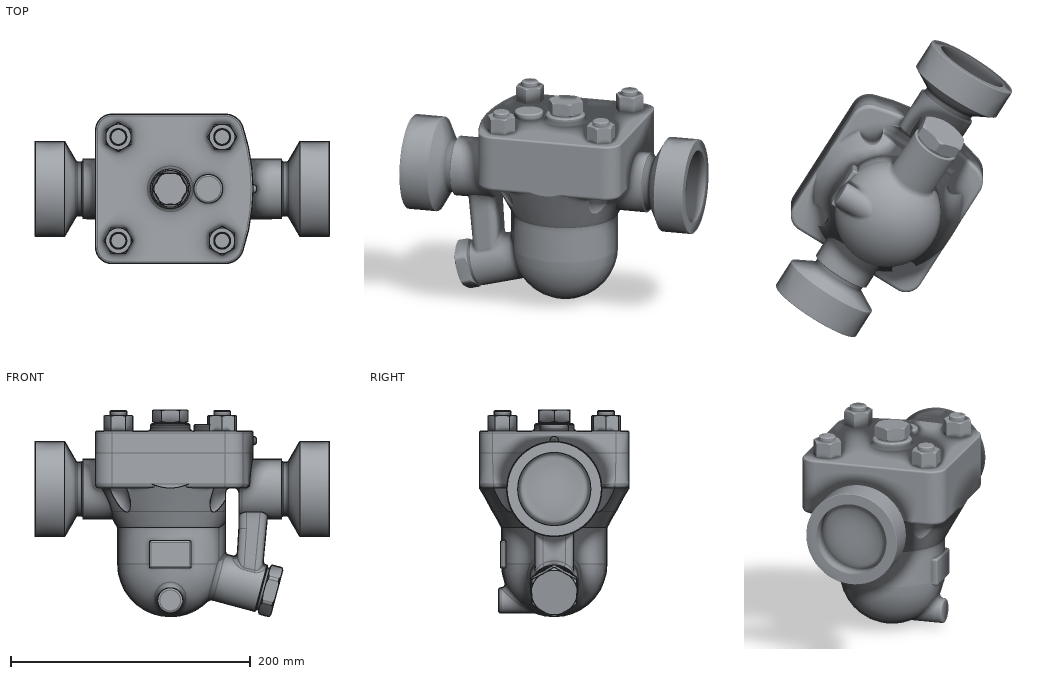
import cadquery as cq
import math

SELECT_MARGIN = 1.0
OVERLAP = 3.0

PIPE_MID_X = 10.0
PIPE_LENGTH = 246.0
PIPE_RADIUS = 25.0
NECK_RADIUS = 22.5
NECK_CHAMFER = 1.0
NECK_ROOT_FILLET = 1.5
COLLAR_RADIUS = 79.5 / 2
COLLAR_LENGTH = 24.8
COLLAR_CHAMFER = 0.4
SOCKET_RADIUS = 61.1 / 2
SOCKET_DEPTH = 16.0
PIPE_HALF_RUN = 83.0
NECK_LENGTH = 5.2

FLANGE_HALF = 62.5
FLANGE_BOTTOM = 1.0
FLANGE_SPLIT = 30.0
COVER_TOP = 48.4
LEFT_CORNER_RADIUS = 14.0
RIGHT_CORNER_RADIUS = 16.0
RIGHT_CORNER_X = 45.5
COVER_APEX_X = 69.1
FLANGE_BOTTOM_APEX_X = 67.8
FLANGE_FILLET = 3.0
COVER_FILLET = 1.6

BODY_RADIUS = 44.0
OVERALL_HEIGHT = 172.6
BODY_BOTTOM = -106.6
SPHERE_Z = BODY_BOTTOM + BODY_RADIUS
CONE_BOTTOM = -32.3
CONE_TOP_RADIUS = 64.3
CONE_BREAK = (51.5, -18.8)
BOLT_SPACING = 86.6
SCOOP_RADIUS = 10.0
SLOT_LEFT = 46.3
SLOT_RIGHT = 57.2
SLOT_ROUND = 4.0
SLOT_FACE_FILLET = 2.6
PILLAR_RADIUS = 27.5

BRANCH_SLOPE = 15.0
BRANCH_RADIUS = 20.0
BRANCH_LENGTH = 79.1
BRANCH_FILLET = 5.0
PILLAR_FILLET = 2.0
BRANCH_CHAMFER = 0.8
BRANCH_CREST_Z = -55.2
CAP_NECK_RADIUS = 18.0
CAP_NECK_LENGTH = 2.2
CAP_THICKNESS = 10.8
CAP_ACROSS_CORNERS = 43.4
CAP_CORNER_FILLET = 3.0
CAP_CHAMFER = 2.0
LEG_WIDTH = 32.0
LEG_TOP_THICKNESS = 23.8
LEG_ROUND = 6.4
LEG_INNER_LEAN = 3.4
LEG_OUTER_LEAN = 5.4
LEG_KINK_Z = -33.0
LEG_FILLET = 3.0

DRAIN_RADIUS = 10.5
DRAIN_Z = -93.0
DRAIN_FACE_Y = -46.4
DRAIN_RIM_FILLET = 1.8
DRAIN_FILLET = 3.5
LABEL_WIDTH = 35.0
LABEL_HEIGHT = 23.0
LABEL_MID_Z = -54.6
LABEL_FACE_Y = -45.0
LABEL_CORNER_FILLET = 1.6
LABEL_RIM_FILLET = 1.5

NUT_TOP = 61.5
NUT_ACROSS_FLATS = 21.0
NUT_CHAMFER = 1.4
STUD_TOP = 65.5
STUD_RADIUS = 7.0
STUD_CHAMFER = 0.8
PLUG_TOP = BODY_BOTTOM + OVERALL_HEIGHT
PLUG_SHANK_RADIUS = 12.6
PLUG_BOTTOM = 55.7
PLUG_ACROSS_CORNERS = 30.0
PLUG_CHAMFER = 1.4
SEAT_RADIUS = 16.5
SEAT_TOP = 54.6
SEAT_FLARE = 2.5
SEAT_CHAMFER = 1.2
PAD_X = 31.8
PAD_RADIUS = 12.0
PAD_TOP = 54.0
PAD_FILLET = 1.5
PIN_RADIUS = 3.5
PIN_Z = 40.4
PIN_TIP_X = 72.0
PIN_TIP_FILLET = 2.5


def flange_outline(workplane, apex_x):
    """Rounded square whose right-hand side bows out to apex_x."""
    r_left, r_right = LEFT_CORNER_RADIUS, RIGHT_CORNER_RADIUS
    corner_y = FLANGE_HALF - r_right
    reach = apex_x - r_right
    bow_x = (RIGHT_CORNER_X**2 + corner_y**2 - reach**2) / (2 * (RIGHT_CORNER_X - reach))
    bow_angle = math.atan2(corner_y, RIGHT_CORNER_X - bow_x)
    mid_angle = (bow_angle + math.pi / 2) / 2
    tangent_x = RIGHT_CORNER_X + r_right * math.cos(bow_angle)
    tangent_y = corner_y + r_right * math.sin(bow_angle)
    mid_x = RIGHT_CORNER_X + r_right * math.cos(mid_angle)
    mid_y = corner_y + r_right * math.sin(mid_angle)
    left = FLANGE_HALF - r_left
    left_mid = left + r_left * math.sqrt(0.5)
    return (
        workplane.moveTo(-left, -FLANGE_HALF)
        .lineTo(RIGHT_CORNER_X, -FLANGE_HALF)
        .threePointArc((mid_x, -mid_y), (tangent_x, -tangent_y))
        .threePointArc((apex_x, 0), (tangent_x, tangent_y))
        .threePointArc((mid_x, mid_y), (RIGHT_CORNER_X, FLANGE_HALF))
        .lineTo(-left, FLANGE_HALF)
        .threePointArc((-left_mid, left_mid), (-FLANGE_HALF, left))
        .lineTo(-FLANGE_HALF, -left)
        .threePointArc((-left_mid, -left_mid), (-left, -FLANGE_HALF))
        .close()
    )


def cylinder(x, y, z_low, z_high, radius):
    """Upright cylinder between two heights."""
    return cq.Workplane("XY", origin=(x, y, z_low)).circle(radius).extrude(z_high - z_low)


def revolve_about_z(points):
    """Solid of revolution about Z from (radius, height) points."""
    return cq.Workplane("XZ").polyline(points).close().revolve(360, (0, 0), (0, 1))


def fillet_between(solid, low, high, radius):
    """Round the edges whose centres lie in the box between two corners."""
    return solid.edges(cq.selectors.BoxSelector(low, high)).fillet(radius)


def hexagon(z_low, z_high, across_corners, chamfer, turn=0.0, both_ends=False, corner_fillet=0.0):
    """Hexagonal head on the Z axis with 30 degree turned chamfers."""
    drop = chamfer * math.tan(math.radians(30))
    prism = cq.Workplane("XY", origin=(0, 0, z_low)).polygon(6, across_corners).extrude(z_high - z_low)
    radius = across_corners / 2
    if corner_fillet:
        prism = prism.edges("|Z").fillet(corner_fillet)
        radius -= corner_fillet * (1 / math.cos(math.radians(30)) - 1)
    points = [(radius, z_high - drop), (radius - chamfer, z_high), (0, z_high), (0, z_low)]
    if both_ends:
        points += [(radius - chamfer, z_low), (radius, z_low + drop)]
    else:
        points += [(radius, z_low)]
    return prism.rotate((0, 0, 0), (0, 0, 1), turn).intersect(revolve_about_z(points))


def welding_end(side):
    """Pipe end with neck, cone and socketed collar, on side -1 or +1 of the run."""
    end = PIPE_LENGTH / 2
    collar_start = end - COLLAR_LENGTH
    neck_end = PIPE_HALF_RUN + NECK_LENGTH
    shoulder = PIPE_HALF_RUN + NECK_CHAMFER
    profile = [
        (PIPE_HALF_RUN - OVERLAP, 0), (PIPE_HALF_RUN - OVERLAP, PIPE_RADIUS),
        (PIPE_HALF_RUN, PIPE_RADIUS), (PIPE_HALF_RUN, NECK_RADIUS + NECK_CHAMFER),
        (shoulder, NECK_RADIUS), (neck_end, NECK_RADIUS),
        (collar_start, COLLAR_RADIUS), (end - COLLAR_CHAMFER, COLLAR_RADIUS),
        (end, COLLAR_RADIUS - COLLAR_CHAMFER), (end, SOCKET_RADIUS),
        (end - SOCKET_DEPTH, SOCKET_RADIUS), (end - SOCKET_DEPTH, 0),
    ]
    points = [(PIPE_MID_X + side * along, radius) for along, radius in profile]
    end_piece = cq.Workplane("XZ").polyline(points).close().revolve(360, (0, 0), (1, 0))
    root_x = PIPE_MID_X + side * neck_end
    low = (root_x - SELECT_MARGIN, -SELECT_MARGIN, -SELECT_MARGIN)
    high = (root_x + SELECT_MARGIN, SELECT_MARGIN, SELECT_MARGIN)
    return fillet_between(end_piece, low, high, NECK_ROOT_FILLET)


def bolt_positions():
    """Centres of the four cover bolts."""
    half = BOLT_SPACING / 2
    return [(sx * half, sy * half) for sx in (-1, 1) for sy in (-1, 1)]


def turned_body():
    """Cone, barrel and half-sphere bottom in one turning, trimmed flush with the flange sides."""
    cone_top = FLANGE_BOTTOM + FLANGE_FILLET
    sphere_mid = BODY_RADIUS * math.sqrt(0.5)
    turning = (
        cq.Workplane("XZ").moveTo(0, BODY_BOTTOM)
        .threePointArc((sphere_mid, SPHERE_Z - sphere_mid), (BODY_RADIUS, SPHERE_Z))
        .lineTo(BODY_RADIUS, CONE_BOTTOM)
        .lineTo(*CONE_BREAK)
        .lineTo(CONE_TOP_RADIUS, cone_top)
        .lineTo(0, cone_top)
        .close()
        .revolve(360, (0, 0), (0, 1))
    )
    side = 2 * FLANGE_HALF
    trim = cq.Workplane("XY", origin=(0, 0, cone_top)).rect(side, side).extrude(BODY_BOTTOM - cone_top)
    return turning.intersect(trim)


def upper_body():
    """Turned body and inlet pipe, opened by the slot, with clearance scoops under the bolts."""
    body = turned_body()
    for x, y in bolt_positions():
        body = body.cut(cylinder(x, y, CONE_BOTTOM, COVER_TOP, SCOOP_RADIUS))
    run_start = PIPE_MID_X - PIPE_HALF_RUN
    pipe = cq.Workplane("YZ", origin=(run_start, 0, 0)).circle(PIPE_RADIUS).extrude(SLOT_RIGHT - run_start)
    slot = (
        cq.Workplane("XY")
        .box(SLOT_RIGHT - SLOT_LEFT, 4 * BODY_RADIUS, 2 * BODY_RADIUS, centered=(False, True, False))
        .edges("|Y and >Z").fillet(SLOT_ROUND)
        .translate((SLOT_LEFT, 0, FLANGE_BOTTOM - 2 * BODY_RADIUS))
    )
    return body.union(pipe).cut(slot)


def outlet_pipe():
    """Pipe beyond the slot, with a rounded rim facing it."""
    length = PIPE_MID_X + PIPE_HALF_RUN - SLOT_RIGHT
    pipe = cq.Workplane("YZ", origin=(SLOT_RIGHT, 0, 0)).circle(PIPE_RADIUS).extrude(length)
    return pipe.faces("<X").edges().fillet(SLOT_FACE_FILLET)


def pillar():
    """Upright bulge on the +X side of the body, beside the slot."""
    return cylinder(SLOT_LEFT - PILLAR_RADIUS, 0, SPHERE_Z, FLANGE_BOTTOM, PILLAR_RADIUS)


def on_branch_axis(solid):
    """Swing a solid built on Z onto the branch axis through the sphere centre."""
    tilted = solid.rotate((0, 0, 0), (0, 1, 0), 90 + BRANCH_SLOPE)
    return tilted.translate((0, 0, SPHERE_Z))


def branch():
    """Sloping strainer branch, faired into the sphere by a concave round."""
    round_r = BRANCH_RADIUS + BRANCH_FILLET
    round_z = math.sqrt((BODY_RADIUS + BRANCH_FILLET)**2 - round_r**2)
    scale = BODY_RADIUS / (BODY_RADIUS + BRANCH_FILLET)
    foot = (round_r * scale, round_z * scale)
    mid_angle = math.pi + math.atan2(round_z, round_r) / 2
    mid = (round_r + BRANCH_FILLET * math.cos(mid_angle), round_z + BRANCH_FILLET * math.sin(mid_angle))
    profile = (
        cq.Workplane("XZ").moveTo(0, 0)
        .lineTo(*foot)
        .threePointArc(mid, (BRANCH_RADIUS, round_z))
        .lineTo(BRANCH_RADIUS, BRANCH_LENGTH - BRANCH_CHAMFER)
        .lineTo(BRANCH_RADIUS - BRANCH_CHAMFER, BRANCH_LENGTH)
        .lineTo(0, BRANCH_LENGTH)
        .close()
    )
    return on_branch_axis(profile.revolve(360, (0, 0), (0, 1)))


def branch_cap():
    """Hexagonal strainer cap on its short neck."""
    cap_start = BRANCH_LENGTH + CAP_NECK_LENGTH
    neck = cylinder(0, 0, BRANCH_LENGTH - OVERLAP, cap_start + OVERLAP, CAP_NECK_RADIUS)
    cap = hexagon(
        cap_start, cap_start + CAP_THICKNESS, CAP_ACROSS_CORNERS, CAP_CHAMFER,
        both_ends=True, corner_fillet=CAP_CORNER_FILLET,
    )
    return on_branch_axis(neck.union(cap))


def leg():
    """Leaning leg with rounded corners joining the pipe to the branch."""
    foot_z = SPHERE_Z - BRANCH_RADIUS
    outer_x = SLOT_RIGHT + LEG_TOP_THICKNESS
    inner_slope = math.tan(math.radians(LEG_INNER_LEAN))
    outer_slope = math.tan(math.radians(LEG_OUTER_LEAN))
    outline = [
        (SLOT_RIGHT, 0),
        (SLOT_RIGHT, LEG_KINK_Z),
        (SLOT_RIGHT + inner_slope * (foot_z - LEG_KINK_Z), foot_z),
        (outer_x + outer_slope * (foot_z + PIPE_RADIUS), foot_z),
        (outer_x + outer_slope * PIPE_RADIUS, 0),
    ]
    block = cq.Workplane("XZ").polyline(outline).close().extrude(LEG_WIDTH / 2, both=True)
    return block.edges("not(|Y or >Z or <Z)").fillet(LEG_ROUND)


def drain_boss():
    """Round boss facing -Y near the bottom of the body."""
    return (
        cq.Workplane("XZ", origin=(0, 0, DRAIN_Z)).circle(DRAIN_RADIUS).extrude(-DRAIN_FACE_Y)
        .faces("<Y").edges().fillet(DRAIN_RIM_FILLET)
    )


def label_plate():
    """Raised rectangular plate on the -Y side of the barrel."""
    return (
        cq.Workplane("XZ", origin=(0, 0, LABEL_MID_Z)).rect(LABEL_WIDTH, LABEL_HEIGHT)
        .extrude(-LABEL_FACE_Y)
        .edges("|Y").fillet(LABEL_CORNER_FILLET)
        .faces("<Y").edges().fillet(LABEL_RIM_FILLET)
    )


def flange():
    """Body flange, drafted on its bowed side, under the flat cover."""
    lower = flange_outline(cq.Workplane("XY"), FLANGE_BOTTOM_APEX_X).wires().val()
    upper = flange_outline(cq.Workplane("XY"), COVER_APEX_X).wires().val()
    body_flange = cq.Workplane(cq.Solid.makeLoft([
        lower.translate(cq.Vector(0, 0, FLANGE_BOTTOM)),
        upper.translate(cq.Vector(0, 0, FLANGE_SPLIT)),
    ], True)).faces("<Z").edges().fillet(FLANGE_FILLET)
    cover = flange_outline(cq.Workplane("XY", origin=(0, 0, FLANGE_SPLIT)), COVER_APEX_X)
    cover = cover.extrude(COVER_TOP - FLANGE_SPLIT).faces(">Z").edges().fillet(COVER_FILLET)
    return body_flange.union(cover, clean=False)


def bolting():
    """Four studs and nuts; diagonal neighbours are turned alike."""
    across_corners = NUT_ACROSS_FLATS / math.cos(math.radians(30))
    parts = cq.Workplane("XY")
    for x, y in bolt_positions():
        turn = 0 if x * y > 0 else 30
        nut = hexagon(COVER_TOP - OVERLAP, NUT_TOP, across_corners, NUT_CHAMFER, turn)
        parts = parts.union(nut.translate((x, y, 0)))
        stud = cylinder(x, y, COVER_TOP, STUD_TOP, STUD_RADIUS).faces(">Z").chamfer(STUD_CHAMFER)
        parts = parts.union(stud)
    return parts


def centre_plug():
    """Hexagonal plug on a round seat that flares into the cover."""
    flare_mid = SEAT_FLARE * (1 - math.sqrt(0.5))
    base_z = COVER_TOP - OVERLAP
    seat = (
        cq.Workplane("XZ").moveTo(0, base_z)
        .lineTo(SEAT_RADIUS + SEAT_FLARE, base_z)
        .lineTo(SEAT_RADIUS + SEAT_FLARE, COVER_TOP)
        .threePointArc(
            (SEAT_RADIUS + flare_mid, COVER_TOP + flare_mid), (SEAT_RADIUS, COVER_TOP + SEAT_FLARE))
        .lineTo(SEAT_RADIUS, SEAT_TOP - SEAT_CHAMFER)
        .lineTo(SEAT_RADIUS - SEAT_CHAMFER, SEAT_TOP)
        .lineTo(0, SEAT_TOP)
        .close()
        .revolve(360, (0, 0), (0, 1))
    )
    shank = cylinder(0, 0, COVER_TOP, PLUG_TOP - OVERLAP, PLUG_SHANK_RADIUS)
    head = hexagon(PLUG_BOTTOM, PLUG_TOP, PLUG_ACROSS_CORNERS, PLUG_CHAMFER, both_ends=True)
    return seat.union(shank).union(head)


def cover_pad():
    """Low round pad beside the centre plug."""
    pad = cylinder(PAD_X, 0, COVER_TOP - OVERLAP, PAD_TOP, PAD_RADIUS)
    return pad.faces(">Z").edges().fillet(PAD_FILLET)


def locating_pin():
    """Domed pin in the middle of the bowed side of the cover."""
    length = PIN_TIP_X - COVER_APEX_X + OVERLAP
    pin = cq.Workplane("YZ", origin=(PIN_TIP_X - length, 0, PIN_Z)).circle(PIN_RADIUS).extrude(length)
    return pin.faces(">X").edges().fillet(PIN_TIP_FILLET)


body = upper_body().union(pillar()).union(branch())
body = fillet_between(
    body,
    (BODY_RADIUS - OVERLAP, -BRANCH_RADIUS, SPHERE_Z - OVERLAP),
    (SLOT_LEFT + OVERLAP, BRANCH_RADIUS, BRANCH_CREST_Z + OVERLAP),
    PILLAR_FILLET,
)
body = body.union(outlet_pipe()).union(leg())
body = fillet_between(
    body,
    (SLOT_LEFT + OVERLAP, -BRANCH_RADIUS, SPHERE_Z - BRANCH_RADIUS),
    (SLOT_RIGHT + LEG_TOP_THICKNESS, BRANCH_RADIUS, BRANCH_CREST_Z),
    LEG_FILLET,
)
body = body.union(drain_boss())
body = fillet_between(
    body,
    (-DRAIN_RADIUS - SELECT_MARGIN, DRAIN_FACE_Y + OVERLAP, BODY_BOTTOM),
    (DRAIN_RADIUS + SELECT_MARGIN, 0, DRAIN_Z + DRAIN_RADIUS + SELECT_MARGIN),
    DRAIN_FILLET,
)
body = body.union(label_plate())
for side in (-1, 1):
    body = body.union(welding_end(side))

result = body
for feature in (flange(), bolting(), centre_plug(), cover_pad(), locating_pin(), branch_cap()):
    result = result.union(feature, clean=False)